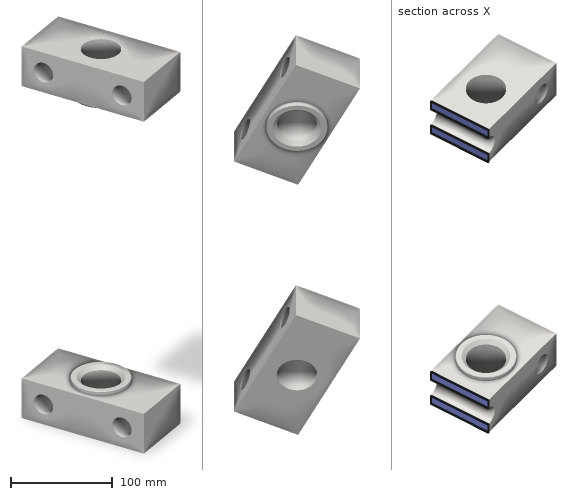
import cadquery as cq

overall_height = 420.0
block_length = 140.0
block_width = 70.0
block_height = 45.0
bolt_hole_diameter = 22.0
bolt_hole_spacing = 90.0
bore_diameter = 40.0
collar_diameter = 60.0
collar_height = 5.0
collar_edge_chamfer = 0.5
bore_mouth_diameter = 48.0

bore_mouth_depth = (bore_mouth_diameter - bore_diameter) / 2
collar_top = block_height + collar_height


def block_with_bolt_holes():
    """Rectangular block standing on Z = 0, with two through holes along Y."""
    block = cq.Workplane("XY").box(block_length, block_width, block_height, centered=(True, True, False))
    bolt_holes = (
        cq.Workplane("XZ")
        .center(0, block_height / 2)
        .rarray(bolt_hole_spacing, 4, 2, 1)
        .circle(bolt_hole_diameter / 2)
        .extrude(block_width / 2, both=True)
    )
    return block.cut(bolt_holes)


def collar():
    """Round collar on top of the block, chamfered around its outer edge."""
    return (
        cq.Workplane("XY", origin=(0, 0, block_height))
        .circle(collar_diameter / 2)
        .extrude(collar_height)
        .faces(">Z")
        .chamfer(collar_edge_chamfer)
    )


def bore_cutter():
    """Through bore that widens as a 45 degree cone at the collar face."""
    bore_radius = bore_diameter / 2
    profile = [
        (0, 0),
        (bore_radius, 0),
        (bore_radius, collar_top - bore_mouth_depth),
        (bore_mouth_diameter / 2, collar_top),
        (0, collar_top),
    ]
    return cq.Workplane("XZ").polyline(profile).close().revolve(360, (0, 0), (0, 1))


def bearing_block():
    """Bearing block with its collar facing up."""
    return block_with_bolt_holes().union(collar()).cut(bore_cutter())


bearing_blocks = []
for is_upper in (False, True):
    bearing = bearing_block()
    if is_upper:
        bearing = bearing.rotate((0, 0, 0), (1, 0, 0), 180).translate((0, 0, overall_height))
    bearing_blocks.append(bearing.val())

result = cq.Compound.makeCompound(bearing_blocks)